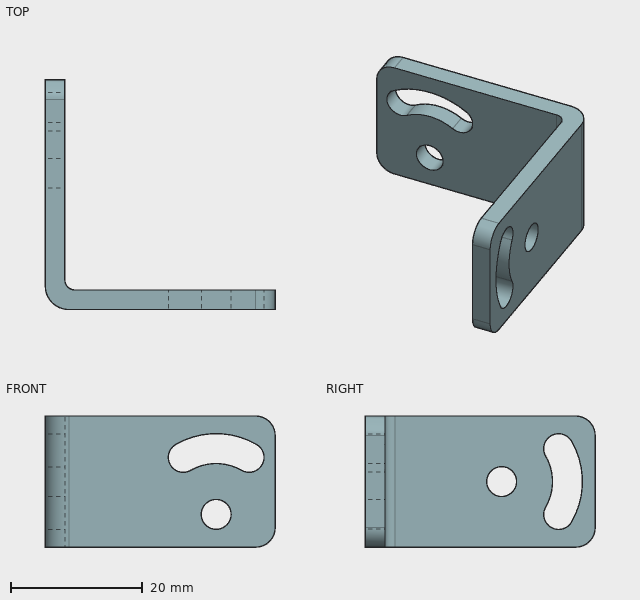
import cadquery as cq
import math

leg_length = 35.0
height = 20.0
thickness = 3.0
bend_outer_radius = 3.6
bend_inner_radius = 1.5
corner_radius = 3.0

hole_diameter = 4.5
slot_width = hole_diameter
slot_radius = 10.0
slot_half_angle = 30.0

x_leg_pivot = (26.0, 5.0)
y_leg_pivot = (20.75, height / 2)
slot_up = 90.0
slot_outward = 0.0


def polar(center, radius, angle):
    """Point at an angle in degrees on a circle."""
    a = math.radians(angle)
    return (center[0] + radius * math.cos(a), center[1] + radius * math.sin(a))


def pivot_cutter(plane, pivot, direction, depth):
    """Hole and arc slot centred on the pivot; the slot lies towards direction."""
    inner = slot_radius - slot_width / 2
    outer = slot_radius + slot_width / 2
    start = direction - slot_half_angle
    end = direction + slot_half_angle
    start_tip = polar(polar(pivot, slot_radius, start), slot_width / 2, start - 90)
    end_tip = polar(polar(pivot, slot_radius, end), slot_width / 2, end + 90)
    slot = (
        cq.Workplane(plane)
        .moveTo(*polar(pivot, outer, start))
        .threePointArc(polar(pivot, outer, direction), polar(pivot, outer, end))
        .threePointArc(end_tip, polar(pivot, inner, end))
        .threePointArc(polar(pivot, inner, direction), polar(pivot, inner, start))
        .threePointArc(start_tip, polar(pivot, outer, start))
        .close()
        .extrude(depth)
    )
    hole = cq.Workplane(plane).center(*pivot).circle(hole_diameter / 2).extrude(depth)
    return slot.union(hole)


bracket = (
    cq.Workplane("XY")
    .polyline([
        (0, 0),
        (leg_length, 0),
        (leg_length, thickness),
        (thickness, thickness),
        (thickness, leg_length),
        (0, leg_length),
    ])
    .close()
    .extrude(height)
)
bracket = bracket.edges(cq.selectors.NearestToPointSelector((0, 0, height / 2))).fillet(bend_outer_radius)
inner_corner = cq.selectors.NearestToPointSelector((thickness, thickness, height / 2))
bracket = bracket.edges(inner_corner).fillet(bend_inner_radius)

bracket = bracket.faces(">X").edges("|Y").fillet(corner_radius)
bracket = bracket.faces(">Y").edges("|X").fillet(corner_radius)

bracket = bracket.cut(pivot_cutter("XZ", x_leg_pivot, slot_up, -thickness))
bracket = bracket.cut(pivot_cutter("YZ", y_leg_pivot, slot_outward, thickness))

result = bracket